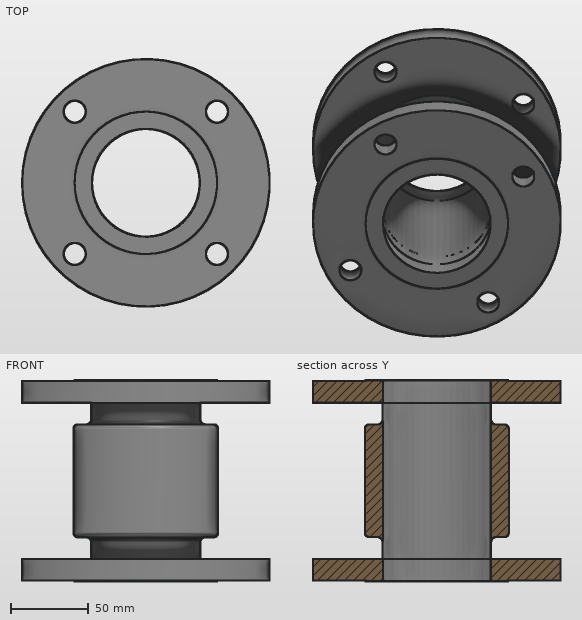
import cadquery as cq

flange_diameter = 160.0
overall_height = 130.0

flange_thickness = 14.0
raised_face_diameter = 92.0
raised_face_height = 0.5

bolt_hole_diameter = 14.0
bolt_spacing = 91.8

drum_diameter = 93.5
drum_height = 73.0
neck_diameter = 70.5
blend_radius = 3.0

bore_diameter = 69.5

face_top = overall_height / 2
flange_top = face_top - raised_face_height
flange_bottom = flange_top - flange_thickness
drum_top = drum_height / 2


def make_upper_half():
    """Revolve the wall section above the mid-plane about the Z axis."""
    bore_radius = bore_diameter / 2
    drum_radius = drum_diameter / 2
    neck_radius = neck_diameter / 2
    flange_radius = flange_diameter / 2
    raised_face_radius = raised_face_diameter / 2
    section = (
        cq.Workplane("XZ")
        .moveTo(-drum_radius, 0)
        .lineTo(-drum_radius, drum_top - blend_radius)
        .radiusArc((-drum_radius + blend_radius, drum_top), blend_radius)
        .lineTo(-neck_radius - blend_radius, drum_top)
        .radiusArc((-neck_radius, drum_top + blend_radius), -blend_radius)
        .lineTo(-neck_radius, flange_bottom)
        .lineTo(-flange_radius, flange_bottom)
        .lineTo(-flange_radius, flange_top)
        .lineTo(-raised_face_radius, flange_top)
        .lineTo(-raised_face_radius, face_top)
        .lineTo(-bore_radius, face_top)
        .lineTo(-bore_radius, 0)
        .close()
    )
    return section.revolve(360, (0, 0, 0), (0, 1, 0))


def make_bolt_holes():
    """Vertical cutters that pass through both flanges."""
    return (
        cq.Workplane("XY")
        .rect(bolt_spacing, bolt_spacing, forConstruction=True)
        .vertices()
        .circle(bolt_hole_diameter / 2)
        .extrude(overall_height / 2, both=True)
    )


upper_half = make_upper_half()
lower_half = upper_half.rotate((0, 0, 0), (1, 0, 0), 180)
result = upper_half.union(lower_half, clean=True).cut(make_bolt_holes())